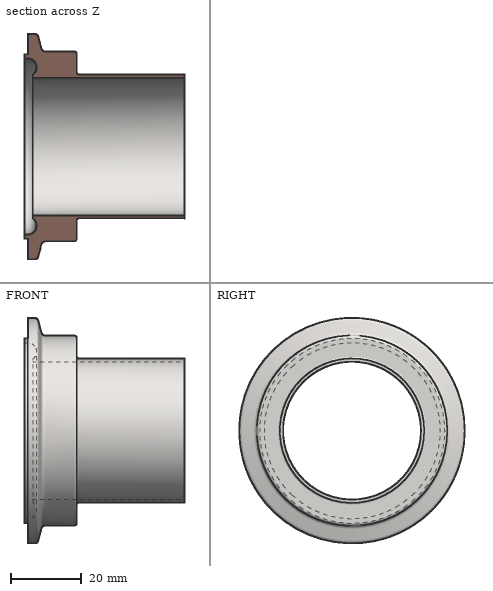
import cadquery as cq
import math

total_length = 45.5
bore_radius = 19.5
tube_radius = 20.5

lip_radius = 26.25
lip_height = 1.0
flange_radius = 32.0
flange_rim_end = 3.8
cone_angle = 15.0

hub_radius = 27.0
hub_end = 14.9
cone_end = flange_rim_end + (flange_radius - hub_radius) * math.tan(math.radians(cone_angle))

groove_outer_radius = 24.95
groove_inner_radius = 20.4
groove_wall_depth = 0.95
groove_arc_radius = 2.5
groove_center_radius = groove_outer_radius - groove_arc_radius
groove_bottom = groove_wall_depth + groove_arc_radius
ledge_depth = groove_wall_depth + math.sqrt(
    groove_arc_radius**2 - (groove_center_radius - groove_inner_radius) ** 2
)

flange_round = 1.0
hub_front_round = 1.0
hub_back_round = 0.8
tube_root_round = 0.6


def round_edge(body, position, edge_radius, round_radius):
    """Round the circular edge found at an X position and a radius."""
    tolerance = 0.0005

    def is_wanted(edge):
        if edge.geomType() != "CIRCLE":
            return False
        at_position = abs(edge.Center().x - position) < tolerance
        return at_position and abs(edge.radius() - edge_radius) < tolerance

    return body.edges().filter(is_wanted).fillet(round_radius)


profile = (
    cq.Workplane("XY")
    .moveTo(total_length, bore_radius)
    .lineTo(total_length, tube_radius)
    .lineTo(hub_end, tube_radius)
    .lineTo(hub_end, hub_radius)
    .lineTo(cone_end, hub_radius)
    .lineTo(flange_rim_end, flange_radius)
    .lineTo(lip_height, flange_radius)
    .lineTo(lip_height, lip_radius)
    .lineTo(0, lip_radius)
    .lineTo(0, groove_outer_radius)
    .lineTo(groove_wall_depth, groove_outer_radius)
    .threePointArc((groove_bottom, groove_center_radius), (ledge_depth, groove_inner_radius))
    .lineTo(ledge_depth, bore_radius)
    .close()
)
result = profile.revolve(360, (0, 0, 0), (1, 0, 0))

result = round_edge(result, flange_rim_end, flange_radius, flange_round)
result = round_edge(result, cone_end, hub_radius, hub_front_round)
result = round_edge(result, hub_end, hub_radius, hub_back_round)
result = round_edge(result, hub_end, tube_radius, tube_root_round)